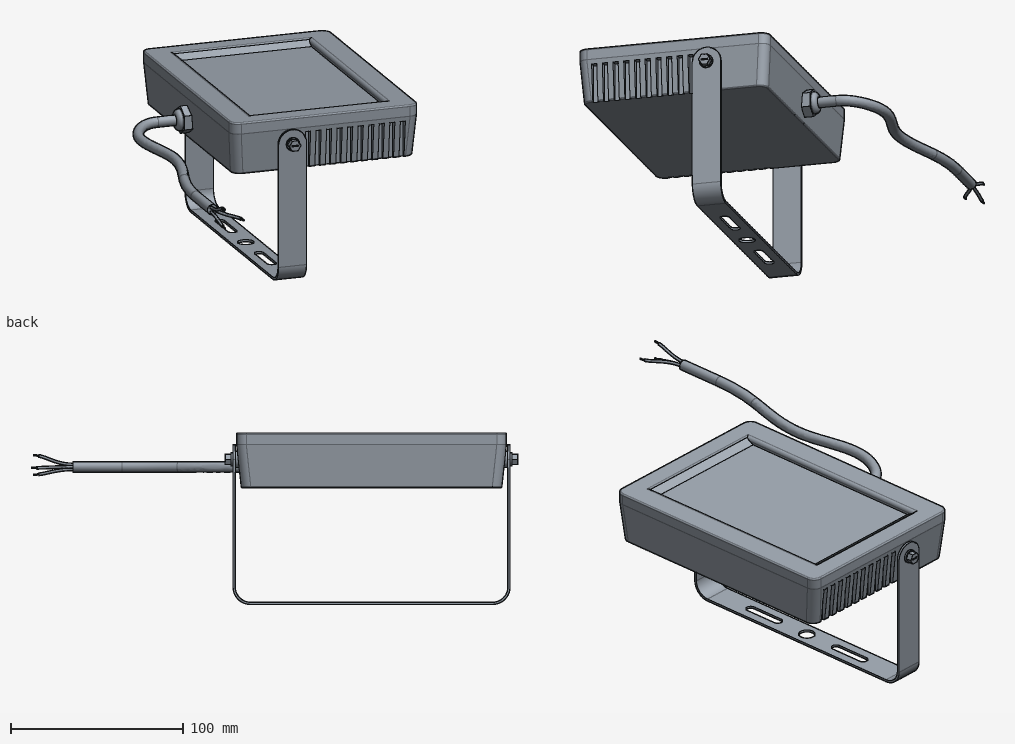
import cadquery as cq
import math

overall_length = 282.0
overall_depth = 164.7
overall_height = 99.5

bezel_length = 156.5
bezel_width = 115.5
base_length = 151.2
base_width = 111.5
housing_height = 32.0
bezel_height = 6.8
corner_radius = 5.6
edge_radius = 0.8
seam_z = housing_height - bezel_height

window_opening_length = 133.1
window_opening_width = 87.0
window_floor_length = 121.3
window_depth = 3.7
end_rim_radius = 0.8
side_rim_radius = 2.3
window_floor_width = window_opening_width - 2 * side_rim_radius

slot_count = 10
slot_pitch = 6.5
slot_width = 3.0
slot_depth = 1.7
slot_top_z = seam_z - 2.8
first_slot_y = 47.7

bracket_length = 160.8
bracket_width = 17.2
bracket_thickness = 1.5
bracket_bend_radius = 10.2
bracket_y = -21.2
bracket_bottom_z = housing_height - overall_height
bracket_inner_x = bracket_length / 2 - bracket_thickness
ear_flat = 0.03
mount_hole_diameter = 9.5
mount_slot_length = 26.8
mount_slot_width = 5.6
mount_slot_x = 33.5

pivot_z = seam_z - bracket_width / 2
boss_diameter = 9.5
boss_root_x = base_length / 2 - 2.8
shank_diameter = 4.5
flange_diameter = 8.0
flange_thickness = 1.0
bolt_head_corners = 7.0
bolt_tip_x = 85.0
driver_slot_length = 4.0
driver_slot_width = 0.5
driver_slot_depth = 0.8

gland_z = housing_height - 19.7
gland_root_y = -base_width / 2 + 2.8
gland_hex_flats = 14.5
gland_hex_turn = 30.0
gland_hex_front_y = -61.5
gland_cap_diameter = 13.0
gland_cap_front_y = -65.0
gland_cap_radius = 2.8
sleeve_front_y = -76.0

cable_diameter = 6.2
cable_front_y = bezel_width / 2 - overall_depth
cable_end_y = cable_front_y + cable_diameter / 2
cable_bends = [(11.5, -90.8), (29.5, -96.2), (66.5, -90.8)]
cable_arc_start = (112.0, -99.3)
cable_arc_end_x = 144.7
cable_end_x = 173.2
wire_diameter = 1.7
core_diameter = 0.8
core_length = 3.0
wire_sag = 0.1
wire_spacing = 1.5
wire_tip_x = overall_length - bolt_tip_x
short_tip_x = wire_tip_x - 1.0
rear_tip_y = -93.5
rear_tip_drop = 0.5
upper_tip_rise = 6.8
lower_tip_drop = 4.5


def rounded_rectangle(length, width, radius, z):
    """Rounded rectangle wire at height z."""
    plate = cq.Workplane("XY", origin=(0, 0, z)).rect(length, width).extrude(2.8)
    return plate.edges("|Z").fillet(radius).faces("<Z").wires().val()


def cylinder_x(diameter, start_x, end_x):
    """Cylinder along X on the pivot axis of the bracket."""
    plane = cq.Workplane("YZ", origin=(start_x, bracket_y, pivot_z))
    return plane.circle(diameter / 2).extrude(end_x - start_x)


def mirrored_in_x(shape):
    """The shape together with its mirror image on the other side."""
    return shape.union(shape.mirror("YZ"))


def make_housing():
    base_outline = rounded_rectangle(base_length, base_width, corner_radius, 0)
    seam_outline = rounded_rectangle(bezel_length, bezel_width, corner_radius, seam_z)
    base = cq.Workplane(cq.Solid.makeLoft([base_outline, seam_outline], True))
    base = base.faces("<Z").edges().fillet(edge_radius)
    bezel = cq.Workplane("XY", origin=(0, 0, seam_z)).rect(bezel_length, bezel_width).extrude(bezel_height)
    bezel = bezel.edges("|Z").fillet(corner_radius).faces(">Z").edges().fillet(edge_radius)
    return base.union(bezel)


def window_profile(plane, opening, floor, rim_radius):
    """Cross-section of the recess, with rounded rims and straight walls, extruded across the whole window."""
    arc_middle = rim_radius * (1 - math.sin(math.radians(45)))
    wall = opening / 2 - rim_radius
    profile = (
        cq.Workplane(plane, origin=(0, 0, housing_height))
        .moveTo(-opening / 2, 0)
        .threePointArc((-wall - arc_middle, -arc_middle), (-wall, -rim_radius))
        .lineTo(-floor / 2, -window_depth)
        .lineTo(floor / 2, -window_depth)
        .lineTo(wall, -rim_radius)
        .threePointArc((wall + arc_middle, -arc_middle), (opening / 2, 0))
        .close()
    )
    return profile.extrude(window_opening_length, both=True)


def make_window():
    along_x = window_profile("XZ", window_opening_length, window_floor_length, end_rim_radius)
    along_y = window_profile("YZ", window_opening_width, window_floor_width, side_rim_radius)
    return along_x.intersect(along_y)


def make_cooling_slots():
    floor_x = base_length / 2 - slot_depth
    cutter_length = bezel_length / 2 - floor_x
    slots = cq.Workplane("XY")
    for index in range(slot_count):
        slot_y = first_slot_y - index * slot_pitch
        slot = cq.Workplane("XY", origin=(floor_x + cutter_length / 2, slot_y, 0))
        slots = slots.union(slot.rect(cutter_length, slot_width).extrude(slot_top_z))
    return mirrored_in_x(slots)


def make_bolts():
    flange_end_x = bracket_length / 2 + flange_thickness
    boss = cylinder_x(boss_diameter, boss_root_x, bracket_inner_x)
    shank = cylinder_x(shank_diameter, boss_root_x, flange_end_x)
    flange = cylinder_x(flange_diameter, bracket_length / 2, flange_end_x)
    head = (
        cq.Workplane("YZ", origin=(flange_end_x, bracket_y, pivot_z))
        .polygon(6, bolt_head_corners)
        .extrude(bolt_tip_x - flange_end_x)
    )
    driver_slot = (
        cq.Workplane("YZ", origin=(bolt_tip_x, bracket_y, pivot_z))
        .rect(driver_slot_length, driver_slot_width)
        .extrude(-driver_slot_depth)
    )
    head = head.cut(driver_slot)
    return mirrored_in_x(boss.union(shank).union(flange).union(head))


def make_gland():
    hex_corners = gland_hex_flats / math.cos(math.radians(gland_hex_turn))
    wall_plane = cq.Workplane("XZ", origin=(0, gland_root_y, gland_z))
    nut = wall_plane.transformed(rotate=(0, 0, gland_hex_turn)).polygon(6, hex_corners)
    nut = nut.extrude(gland_root_y - gland_hex_front_y)
    cap = wall_plane.circle(gland_cap_diameter / 2).extrude(gland_root_y - gland_cap_front_y)
    cap = cap.faces("<Y").edges().fillet(gland_cap_radius)
    sleeve = wall_plane.circle(cable_diameter / 2).extrude(gland_root_y - sleeve_front_y)
    return nut.union(cap).union(sleeve)


def make_cable():
    """Cable: a free curve, then an arc that levels out into a straight end."""
    start = cq.Vector(0, sleeve_front_y, gland_z)
    arc_start = cq.Vector(*cable_arc_start, gland_z)
    arc_end = cq.Vector(cable_arc_end_x, cable_end_y, gland_z)
    end = cq.Vector(cable_end_x, cable_end_y, gland_z)
    chord = arc_end - arc_start
    arc_slope = 2 * math.atan2(chord.y, chord.x)
    arc_direction = cq.Vector(math.cos(arc_slope), math.sin(arc_slope), 0)
    bends = [cq.Vector(x, y, gland_z) for x, y in cable_bends]
    curve_points = [start, *bends, arc_start]
    curve = cq.Edge.makeSpline(curve_points, tangents=[cq.Vector(0, -1, 0), arc_direction], scale=False)
    arc = cq.Edge.makeTangentArc(arc_start, arc_direction, arc_end)
    straight = cq.Edge.makeLine(arc_end, end)
    path = cq.Workplane(cq.Wire.assembleEdges([curve, arc, straight]))
    return cq.Workplane("XZ", origin=start.toTuple()).circle(cable_diameter / 2).sweep(path)


def make_wire(start_y, start_z, tip):
    """Stripped wire curving from the cable end to its tip, with the bare core showing."""
    start = cq.Vector(cable_end_x, start_y, start_z)
    tip_point = cq.Vector(*tip)
    forward = cq.Vector(1, 0, 0)
    rise = tip_point - start - forward.multiply(tip_point.x - start.x)
    middle = (start + tip_point).multiply(0.5) - rise.multiply(wire_sag)
    spline = cq.Edge.makeSpline([start, middle, tip_point], tangents=[forward, forward], scale=False)
    end_share = 1 - core_length / spline.Length()
    jacket_edge = spline.trim(spline.paramAt(0), spline.paramAt(end_share))
    profile = cq.Workplane("YZ", origin=start.toTuple())
    jacket = profile.circle(wire_diameter / 2).sweep(cq.Workplane(cq.Wire.assembleEdges([jacket_edge])))
    core = profile.circle(core_diameter / 2).sweep(cq.Workplane(cq.Wire.assembleEdges([spline])))
    return jacket.union(core)


def make_wires():
    rear = make_wire(cable_end_y + wire_spacing, gland_z, (wire_tip_x, rear_tip_y, gland_z - rear_tip_drop))
    front_y = cable_end_y - wire_spacing / 2
    upper = make_wire(front_y, gland_z + wire_spacing, (short_tip_x, front_y, gland_z + upper_tip_rise))
    lower = make_wire(front_y, gland_z - wire_spacing, (short_tip_x, front_y, gland_z - lower_tip_drop))
    return [rear, upper, lower]


def make_lamp():
    lamp = make_housing().cut(make_window()).cut(make_cooling_slots())
    lamp = lamp.union(make_bolts()).union(make_gland()).union(make_cable())
    for wire in make_wires():
        lamp = lamp.union(wire)
    return lamp


def make_bracket():
    leg_height = seam_z - bracket_bottom_z
    outer = (
        cq.Workplane("XY", origin=(0, bracket_y, bracket_bottom_z))
        .box(bracket_length, bracket_width, leg_height, centered=(True, True, False))
        .edges("|Y and <Z")
        .fillet(bracket_bend_radius)
    )
    inner = (
        cq.Workplane("XY", origin=(0, bracket_y, bracket_bottom_z + bracket_thickness))
        .box(2 * bracket_inner_x, bracket_width, leg_height, centered=(True, True, False))
        .edges("|Y and <Z")
        .fillet(bracket_bend_radius - bracket_thickness)
    )
    strip = outer.cut(inner).edges("|X and >Z").fillet(bracket_width / 2 - ear_flat)
    pivot_holes = cylinder_x(shank_diameter, -bracket_length / 2, bracket_length / 2)
    floor = cq.Workplane("XY", origin=(0, bracket_y, bracket_bottom_z))
    mount_hole = floor.circle(mount_hole_diameter / 2).extrude(bracket_thickness)
    mount_slots = (
        floor.pushPoints([(-mount_slot_x, 0), (mount_slot_x, 0)])
        .slot2D(mount_slot_length, mount_slot_width)
        .extrude(bracket_thickness)
    )
    return strip.cut(pivot_holes).cut(mount_hole).cut(mount_slots)


lamp = make_lamp()
bracket = make_bracket()
result = cq.Compound.makeCompound([lamp.val(), bracket.val()])